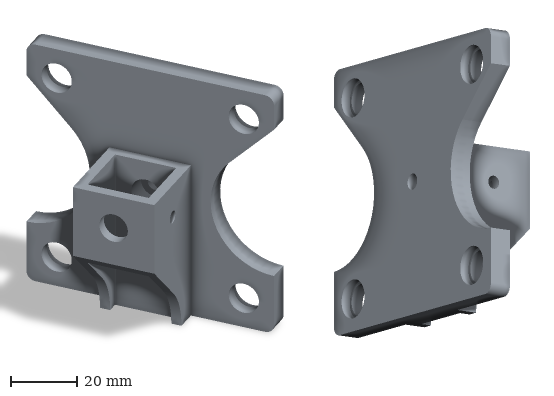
import cadquery as cq
import math

plate_size = 82.0
plate_thickness = 7.05
corner_radius = 2.95
mount_hole_diameter = 10.0
mount_recess_diameter = 12.0
mount_recess_depth = 3.0
mount_hole_spacing = 62.0
cutout_radius = 21.0

socket_size = 27.0
socket_wall = 3.4
socket_top = 11.1
bore_corner_radius = 0.25
foot_depth = 7.0
foot_arc_radius = 20.0

side_hole_diameter = 4.0
access_hole_diameter = 9.4
bolt_hole_diameter = 5.0
bolt_seat_thickness = 3.4

half_plate = plate_size / 2
socket_axis_y = -socket_size / 2
socket_bore = socket_size - 2 * socket_wall


def front_cylinder(diameter, y_start, y_end):
    """Cylinder along Y, on the plate centre, from y_start to y_end."""
    return (
        cq.Workplane("XZ", origin=(0, y_end, 0))
        .circle(diameter / 2)
        .extrude(y_end - y_start)
    )


def side_cutout(side):
    """Round bite in one plate edge, opening upward along a tangent 45 degree line."""
    edge_x = side * half_plate
    tangent_offset = cutout_radius * math.sqrt(0.5)
    return (
        cq.Workplane("XZ", origin=(0, plate_thickness, 0))
        .moveTo(edge_x, -cutout_radius)
        .threePointArc(
            (edge_x - side * cutout_radius, 0),
            (edge_x - side * tangent_offset, tangent_offset),
        )
        .lineTo(edge_x, cutout_radius * math.sqrt(2))
        .close()
        .extrude(plate_thickness)
    )


def mount_cylinders(diameter, depth):
    """Cylinders at the four mounting positions, reaching depth in from the back face."""
    return (
        cq.Workplane("XZ", origin=(0, plate_thickness, 0))
        .rect(mount_hole_spacing, mount_hole_spacing, forConstruction=True)
        .vertices()
        .circle(diameter / 2)
        .extrude(depth)
    )


def make_plate():
    plate = (
        cq.Workplane("XZ", origin=(0, plate_thickness, 0))
        .rect(plate_size, plate_size)
        .extrude(plate_thickness)
        .edges("|Y")
        .fillet(corner_radius)
    )
    for side in (-1, 1):
        plate = plate.cut(side_cutout(side))
    through_holes = mount_cylinders(mount_hole_diameter, plate_thickness)
    recesses = mount_cylinders(mount_recess_diameter, mount_recess_depth)
    return plate.cut(through_holes).cut(recesses)


def make_socket():
    """Side profile in YZ: a concave foot arc runs into a 45 degree slope to the front wall."""
    bottom = -half_plate
    arc_centre_y = -foot_depth - foot_arc_radius

    def foot_arc_point(degrees):
        angle = math.radians(degrees)
        return (
            arc_centre_y + foot_arc_radius * math.cos(angle),
            bottom + foot_arc_radius * math.sin(angle),
        )

    slope_start = foot_arc_point(45)
    slope_end_z = slope_start[1] + socket_size + slope_start[0]
    return (
        cq.Workplane("YZ", origin=(-socket_size / 2, 0, 0))
        .moveTo(0, bottom)
        .lineTo(-foot_depth, bottom)
        .threePointArc(foot_arc_point(22.5), slope_start)
        .lineTo(-socket_size, slope_end_z)
        .lineTo(-socket_size, socket_top)
        .lineTo(0, socket_top)
        .close()
        .extrude(socket_size)
    )


bore = (
    cq.Workplane("XY", origin=(0, socket_axis_y, -half_plate))
    .rect(socket_bore, socket_bore)
    .extrude(half_plate + socket_top)
    .edges("|Z")
    .fillet(bore_corner_radius)
)

side_hole = (
    cq.Workplane("YZ", origin=(-socket_size / 2, socket_axis_y, 0))
    .circle(side_hole_diameter / 2)
    .extrude(socket_size)
)

access_hole = front_cylinder(
    access_hole_diameter, -socket_size, plate_thickness - bolt_seat_thickness
)
bolt_hole = front_cylinder(bolt_hole_diameter, -socket_size, plate_thickness)

result = make_plate().union(make_socket())
for cutter in (bore, side_hole, access_hole, bolt_hole):
    result = result.cut(cutter)